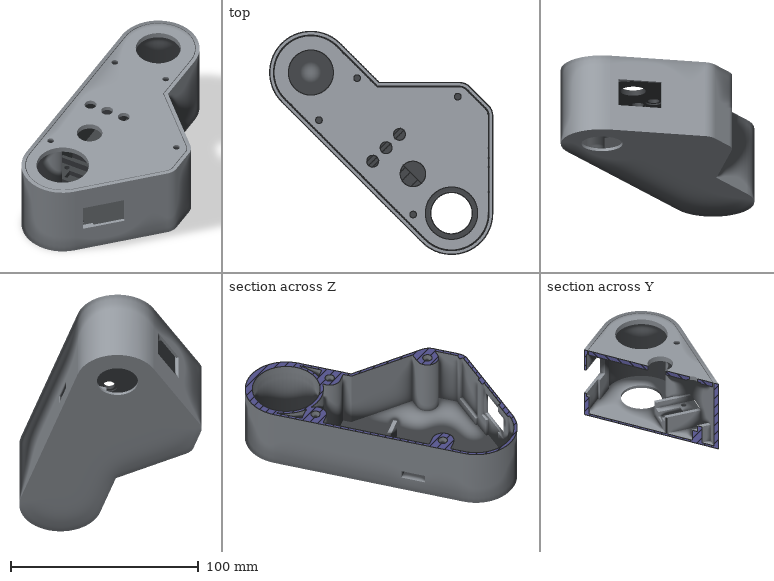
import cadquery as cq
import math

LENGTH = 118.9
HEIGHT = 42.1
END_RADIUS = 22.0
CORNER_TOP_Y = 91.6
CORNER_CHAMFER_SUM = 195.9
CORNER_RADIUS = 8.0

WALL = 2.0
FLOOR = 1.5
LID_THICKNESS = 3.0
LID_INSET = 2.4
LID_UNDERSIDE = HEIGHT - LID_THICKNESS

DIAGONAL = math.sqrt(0.5)
END_OFFSET = LENGTH - END_RADIUS
LEFT_END = (END_RADIUS, END_OFFSET)
RIGHT_END = (END_OFFSET, END_RADIUS)
OUTER_ACROSS = LENGTH * DIAGONAL - END_RADIUS

LEFT_OPENING_DIA = 24.0
RIGHT_OPENING_DIA = 27.9
BUTTON_DIA = 13.5
BUTTON_CENTER = (76.3, 42.9)
LIGHT_DIA = 6.3
LIGHT_ALONG = 3.7
LIGHT_ACROSS = 84.0
LIGHT_PITCH = 10.1
LIGHT_RECESS_DIA = 8.8
LIGHT_RECESS_DEPTH = 0.7

POSTS = [((46.6, 93.9), 45), ((100.2, 84.0), 90), ((26.3, 71.6), 225), ((76.4, 21.3), 225)]
POST_DIA = 12.1
SCREW_DIA = 3.6
INSERT_DIA = 4.8
INSERT_DEPTH = 10.0

CHAMBER_WALL = 2.0
CHAMBER_OUTER_RADIUS = END_RADIUS - WALL
FLOOR_OPENING_DIA = 22.0

PORT_ALONG = 24.8
PORT_WIDTH = 13.1
PORT_HEIGHT = 4.5
SHELF_TOP = 8.1
CRADLE_TOP = 11.8
CRADLE_WALL = 2.0
CRADLE_END = 83.9
CHANNEL_WIDTH = 5.6
CHANNEL_DEPTH = 3.0
CHANNEL_START = 71.3
SHELF_HOLE_DIA = 2.9
SHELF_HOLE_SPACING = 8.5
SHELF_HOLE_ACROSS = 69.0

RIB_START = 1.7
RIB_WIDTH = 2.1
RIB_END = 101.0
LEDGE_WIDTH = 2.0
LEDGE_END = 78.5

RAIL_X = 115.0
RAIL_Y = (75.0, 77.9)
SILL_TOP = 6.2

PAD_X = 115.9
PAD_Y = (END_RADIUS, 56.6)
POCKET_X = 117.3
POCKET_Y = (33.2, 51.5)
POCKET_BOTTOM = 12.4
NOTCH_TOP_Y = 46.6
WINDOW_Y = (26.7, 49.9)
WINDOW_Z = (14.3, 29.0)


def on_circle(center, radius, degrees):
    angle = math.radians(degrees)
    return (center[0] + radius * math.cos(angle), center[1] + radius * math.sin(angle))


def diagonal_point(along, across):
    return ((across + along) * DIAGONAL, (across - along) * DIAGONAL)


def diagonal_plane(x, y, z):
    return cq.Workplane(cq.Plane(origin=(x, y, z), xDir=(1, -1, 0), normal=(0, 0, 1)))


def cylinder(center, diameter, bottom, top):
    return diagonal_plane(*center, bottom).circle(diameter / 2).extrude(top - bottom)


def box(x_range, y_range, z_range):
    sizes = [end - start for start, end in (x_range, y_range, z_range)]
    corner = (x_range[0], y_range[0], z_range[0])
    return cq.Workplane("XY").box(*sizes, centered=False).translate(corner)


def diagonal_box(along_range, across_range, z_range):
    center = diagonal_point(sum(along_range) / 2, sum(across_range) / 2)
    width = along_range[1] - along_range[0]
    depth = across_range[1] - across_range[0]
    return diagonal_plane(*center, z_range[0]).rect(width, depth).extrude(z_range[1] - z_range[0])


def outline_prism(inset, bottom, top):
    """Prism of the outline moved inward by inset, with the two corners of the chamfer rounded."""
    radius = END_RADIUS - inset
    side_x = LENGTH - inset
    top_y = CORNER_TOP_Y - inset
    arm_sum = LENGTH + radius / DIAGONAL
    chamfer_sum = CORNER_CHAMFER_SUM - inset / DIAGONAL
    chamfer_ends = [(side_x, chamfer_sum - side_x), (chamfer_sum - top_y, top_y)]
    prism = (
        cq.Workplane("XY", origin=(0, 0, bottom))
        .moveTo(*on_circle(LEFT_END, radius, 45))
        .threePointArc(on_circle(LEFT_END, radius, 135), on_circle(LEFT_END, radius, 225))
        .lineTo(*on_circle(RIGHT_END, radius, 225))
        .threePointArc(on_circle(RIGHT_END, radius, 292.5), on_circle(RIGHT_END, radius, 0))
        .lineTo(*chamfer_ends[0])
        .lineTo(*chamfer_ends[1])
        .lineTo(arm_sum - top_y, top_y)
        .close()
        .extrude(top - bottom)
    )
    for x, y in chamfer_ends:
        corner_edge = cq.selectors.NearestToPointSelector((x, y, (bottom + top) / 2))
        prism = prism.edges("|Z").edges(corner_edge).fillet(CORNER_RADIUS - inset)
    return prism


def make_post(center, wall_direction):
    """Round post with parallel flanks that run on to the wall."""
    web = (
        box((0, END_RADIUS), (-POST_DIA / 2, POST_DIA / 2), (0, LID_UNDERSIDE))
        .rotate((0, 0, 0), (0, 0, 1), wall_direction)
        .translate((*center, 0))
    )
    return cylinder(center, POST_DIA, 0, LID_UNDERSIDE).union(web)


def make_chamber_ring():
    outer = cylinder(LEFT_END, 2 * CHAMBER_OUTER_RADIUS, 0, LID_UNDERSIDE)
    return outer.cut(cylinder(LEFT_END, 2 * (CHAMBER_OUTER_RADIUS - CHAMBER_WALL), 0, LID_UNDERSIDE))


def make_cradle():
    """Block with a port-wide slot over its shelf, a channel and two holes in the shelf."""
    half_port = PORT_WIDTH / 2
    half_block = half_port + CRADLE_WALL
    half_channel = CHANNEL_WIDTH / 2
    across = (OUTER_ACROSS, CRADLE_END)
    block = diagonal_box((PORT_ALONG - half_block, PORT_ALONG + half_block), across, (0, CRADLE_TOP))
    slot = diagonal_box(
        (PORT_ALONG - half_port, PORT_ALONG + half_port), across, (SHELF_TOP, CRADLE_TOP)
    )
    channel = diagonal_box(
        (PORT_ALONG - half_channel, PORT_ALONG + half_channel),
        (CHANNEL_START, CRADLE_END),
        (SHELF_TOP - CHANNEL_DEPTH, SHELF_TOP),
    )
    cradle = block.cut(slot).cut(channel)
    for side in (-1, 1):
        center = diagonal_point(PORT_ALONG + side * SHELF_HOLE_SPACING / 2, SHELF_HOLE_ACROSS)
        cradle = cradle.cut(cylinder(center, SHELF_HOLE_DIA, FLOOR, SHELF_TOP))
    return cradle


def make_divider():
    rib_side = RIB_START + RIB_WIDTH
    rib = diagonal_box((RIB_START, rib_side), (OUTER_ACROSS, RIB_END), (0, CRADLE_TOP))
    ledge = diagonal_box((rib_side, rib_side + LEDGE_WIDTH), (OUTER_ACROSS, LEDGE_END), (0, SHELF_TOP))
    return rib.union(ledge)


def make_side_frame():
    rail = box((RAIL_X, LENGTH), RAIL_Y, (0, LID_UNDERSIDE))
    sill = box((RAIL_X, LENGTH), (PAD_Y[1], RAIL_Y[0]), (0, SILL_TOP))
    return rail.union(sill)


def make_window_pad():
    return box((PAD_X, LENGTH), PAD_Y, (0, LID_UNDERSIDE))


def make_window_cut():
    """Window through the wall, with a pocket behind it that reaches the floor beside a corner ledge."""
    window = box((PAD_X, LENGTH), WINDOW_Y, WINDOW_Z)
    pocket = box((PAD_X, POCKET_X), POCKET_Y, (POCKET_BOTTOM, LID_UNDERSIDE))
    notch = box((PAD_X, POCKET_X), (POCKET_Y[0], NOTCH_TOP_Y), (FLOOR, POCKET_BOTTOM))
    return window.union(pocket).union(notch)


def make_housing():
    room = outline_prism(WALL, FLOOR, LID_UNDERSIDE)
    housing = outline_prism(0, 0, HEIGHT).cut(outline_prism(WALL, FLOOR, HEIGHT))

    fittings = [make_post(center, direction) for center, direction in POSTS]
    fittings += [make_chamber_ring(), make_cradle(), make_divider()]
    fittings += [make_side_frame(), make_window_pad()]
    for fitting in fittings:
        housing = housing.union(fitting.intersect(room))

    for center, _ in POSTS:
        insert_hole = cylinder(center, INSERT_DIA, LID_UNDERSIDE - INSERT_DEPTH, LID_UNDERSIDE)
        housing = housing.cut(insert_hole)
    port = diagonal_box(
        (PORT_ALONG - PORT_WIDTH / 2, PORT_ALONG + PORT_WIDTH / 2),
        (OUTER_ACROSS, OUTER_ACROSS + WALL),
        (SHELF_TOP, SHELF_TOP + PORT_HEIGHT),
    )
    floor_opening = cylinder(RIGHT_END, FLOOR_OPENING_DIA, 0, FLOOR)
    return housing.cut(port).cut(make_window_cut()).cut(floor_opening)


def make_lid():
    lid = outline_prism(LID_INSET, LID_UNDERSIDE, HEIGHT)
    openings = [
        (LEFT_END, LEFT_OPENING_DIA),
        (RIGHT_END, RIGHT_OPENING_DIA),
        (BUTTON_CENTER, BUTTON_DIA),
    ]
    openings += [(center, SCREW_DIA) for center, _ in POSTS]
    for center, diameter in openings:
        lid = lid.cut(cylinder(center, diameter, LID_UNDERSIDE, HEIGHT))
    for step in (-1, 0, 1):
        center = diagonal_point(LIGHT_ALONG, LIGHT_ACROSS + step * LIGHT_PITCH)
        recess_top = LID_UNDERSIDE + LIGHT_RECESS_DEPTH
        lid = lid.cut(cylinder(center, LIGHT_DIA, LID_UNDERSIDE, HEIGHT))
        lid = lid.cut(cylinder(center, LIGHT_RECESS_DIA, LID_UNDERSIDE, recess_top))
    return lid


housing = make_housing()
lid = make_lid()
result = cq.Compound.makeCompound([housing.solids().val(), lid.solids().val()])